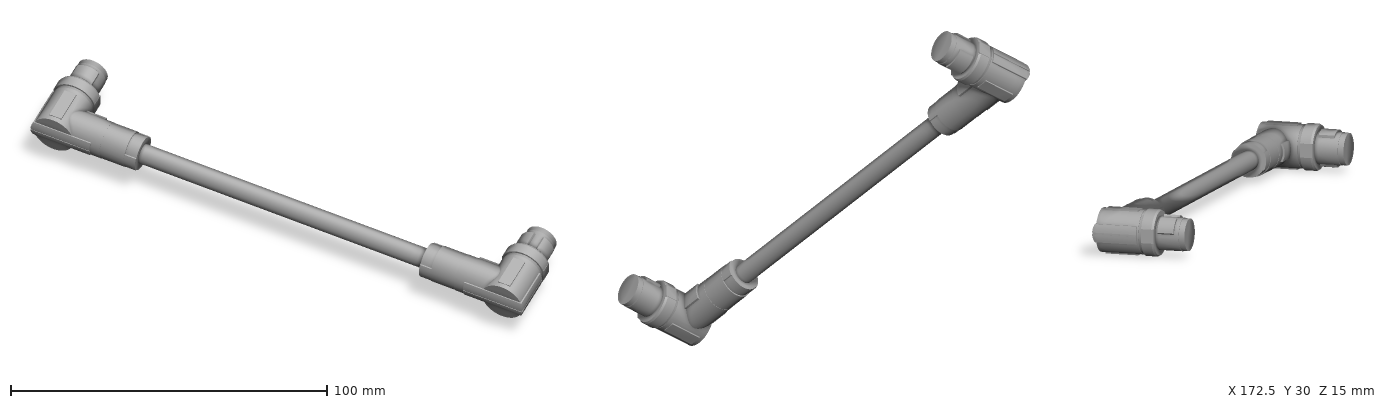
import cadquery as cq
import math


TOTAL_LENGTH = 172.5
CABLE_RADIUS = 3.3

BODY_RADIUS = 7.0
BODY_BOTTOM = 1.0
BODY_TOP = 15.2
PANEL_HEIGHT = 7.2
PANEL_HALF_WIDTH = 2.0
PANEL_BOTTOM = 2.6
PANEL_TOP = 13.6

RIB_HALF_WIDTH = 3.0
RIB_TOP = 14.7
RIB_BACK = 13.1
RIB_LENGTH = 20.7
GROOVE_WIDTH = 0.5
GROOVE_DEPTH = 0.2

NECK_RADIUS = 6.9
NUT_RADIUS = 15.0 / 2
NUT_BOTTOM = 16.2
NUT_TOP = 20.4
NUT_CHAMFER_HEIGHT = 0.7
NUT_CHAMFER_WIDTH = 0.3
NUT_TAB_HALF_WIDTH = 2.2
NUT_TAB_REACH = 7.2
RIB_REACH = NUT_RADIUS

HEAD_RADIUS = 5.3
HEAD_SHOULDER = 28.1
TIP_RADIUS = 5.2
HEAD_TOP = 30.0
PAD_RADIUS = 6.0
PAD_BOTTOM = 21.2
PAD_TOP = 26.5
WIDE_PAD = 7.5
NARROW_PAD = 5.5

SLEEVE_AXIS_Y = 6.4
SLEEVE_RADIUS = 6.0
GRIP_RADIUS = 11.9 / 2
COLLAR_RADIUS = 5.5
SLEEVE_END = 24.0
GRIP_END = 32.5
COLLAR_END = 36.4
KEY_RADIUS = 5.9
KEY_HALF_WIDTH = 5.7 / 2

LEFT_PADS = [(90, WIDE_PAD), (-70, WIDE_PAD)]
RIGHT_PADS = [(38, NARROW_PAD), (127, NARROW_PAD)]


def post(radius, bottom, top):
    """Cylinder on the plug post axis, from Y = bottom to Y = top."""
    solid = cq.Solid.makeCylinder(radius, top - bottom, cq.Vector(0, bottom, 0), cq.Vector(0, 1, 0))
    return cq.Workplane(solid)


def sleeve(radius, start, end):
    """Cylinder on the cable axis, between two distances from the outer end of the plug."""
    base = cq.Vector(start - RIB_REACH, SLEEVE_AXIS_Y, 0)
    return cq.Workplane(cq.Solid.makeCylinder(radius, end - start, base, cq.Vector(1, 0, 0)))


def block(x_range, y_range, z_half):
    """Box between X and Y limits, centred on Z = 0."""
    size_x = x_range[1] - x_range[0]
    size_y = y_range[1] - y_range[0]
    return cq.Workplane().box(size_x, size_y, 2 * z_half, centered=(False, False, True)).translate(
        (x_range[0], y_range[0], 0)
    )


def rib():
    """L-shaped rib with a rounded, grooved outer face along the post and the sleeve."""
    edge = RIB_HALF_WIDTH
    inner = RIB_LENGTH - RIB_REACH
    post_edge = -math.sqrt(RIB_REACH**2 - edge**2)
    low_edge = SLEEVE_AXIS_Y - math.sqrt(SLEEVE_AXIS_Y**2 - edge**2)
    high_edge = RIB_BACK - low_edge

    upright = (
        cq.Workplane("XZ")
        .moveTo(post_edge, edge)
        .threePointArc((-RIB_REACH, 0), (post_edge, -edge))
        .lineTo(inner, -edge)
        .lineTo(inner, edge)
        .close()
        .extrude(-RIB_TOP)
    )
    end_plane = cq.Workplane("YZ", origin=(-RIB_REACH, 0, 0))
    along_sleeve = (
        end_plane.moveTo(low_edge, edge)
        .threePointArc((0, 0), (low_edge, -edge))
        .lineTo(high_edge, -edge)
        .threePointArc((RIB_BACK, 0), (high_edge, edge))
        .close()
        .extrude(RIB_LENGTH)
    )
    along_post = (
        end_plane.moveTo(low_edge, edge)
        .threePointArc((0, 0), (low_edge, -edge))
        .lineTo(RIB_TOP, -edge)
        .lineTo(RIB_TOP, edge)
        .close()
        .extrude(RIB_REACH)
    )
    solid = upright.intersect(along_sleeve).union(upright.intersect(along_post))

    foot_groove = block((-RIB_REACH, inner), (0, GROOVE_DEPTH), GROOVE_WIDTH / 2)
    side_groove = block((-RIB_REACH, GROOVE_DEPTH - RIB_REACH), (0, RIB_TOP), GROOVE_WIDTH / 2)
    return solid.cut(foot_groove).cut(side_groove)


def body():
    """Post with a raised flat marking panel on the +Z and -Z sides."""
    panels = block((-PANEL_HALF_WIDTH, PANEL_HALF_WIDTH), (PANEL_BOTTOM, PANEL_TOP), PANEL_HEIGHT)
    return post(BODY_RADIUS, BODY_BOTTOM, BODY_TOP).union(panels)


def nut():
    """Coupling nut with a chamfered top, trimmed flat and tabbed on each X side."""
    ring = post(NUT_RADIUS, NUT_BOTTOM, NUT_TOP)
    ring = ring.faces(">Y").chamfer(NUT_CHAMFER_HEIGHT, NUT_CHAMFER_WIDTH)
    sides = (-NUT_TAB_REACH, NUT_TAB_REACH)
    heights = (NUT_BOTTOM, NUT_TOP)
    trimmed = ring.intersect(block(sides, heights, NUT_RADIUS))
    return trimmed.union(block(sides, heights, NUT_TAB_HALF_WIDTH))


def pad(angle, width):
    """Coding pad with parallel sides, turned about the post axis."""
    strip = block((-PAD_RADIUS, 0), (PAD_BOTTOM, PAD_TOP), width / 2)
    return post(PAD_RADIUS, PAD_BOTTOM, PAD_TOP).intersect(strip).rotate((0, 0, 0), (0, 1, 0), angle)


def head(pads):
    """Stepped plug head with its coding pads."""
    solid = post(HEAD_RADIUS, NUT_TOP, HEAD_SHOULDER).union(post(TIP_RADIUS, HEAD_SHOULDER, HEAD_TOP))
    for angle, width in pads:
        solid = solid.union(pad(angle, width))
    return solid


def cable_sleeve():
    """Stepped sleeve from the post axis to the cable, with a key on each Y side of its collar."""
    key_x = (GRIP_END - RIB_REACH, COLLAR_END - RIB_REACH)
    key_y = (SLEEVE_AXIS_Y - KEY_RADIUS, SLEEVE_AXIS_Y + KEY_RADIUS)
    keys = sleeve(KEY_RADIUS, GRIP_END, COLLAR_END).intersect(block(key_x, key_y, KEY_HALF_WIDTH))
    return (
        sleeve(SLEEVE_RADIUS, RIB_REACH, SLEEVE_END)
        .union(sleeve(GRIP_RADIUS, SLEEVE_END, GRIP_END))
        .union(sleeve(COLLAR_RADIUS, GRIP_END, COLLAR_END))
        .union(keys)
    )


def plug(pads):
    """Complete left-hand plug, moved so that its rib crest lies at the end of the part."""
    outermost = math.sqrt(RIB_REACH**2 - (GROOVE_WIDTH / 2) ** 2)
    solid = (
        body()
        .union(rib())
        .union(cable_sleeve())
        .union(post(NECK_RADIUS, BODY_TOP, NUT_BOTTOM))
        .union(nut())
        .union(head(pads))
    )
    return solid.translate((outermost - TOTAL_LENGTH / 2, 0, 0))


cable_length = TOTAL_LENGTH - 2 * GRIP_END
cable = (
    cq.Workplane("YZ", origin=(-cable_length / 2, 0, 0))
    .center(SLEEVE_AXIS_Y, 0)
    .circle(CABLE_RADIUS)
    .extrude(cable_length)
)

result = plug(LEFT_PADS).union(cable).union(plug(RIGHT_PADS).mirror("YZ"))